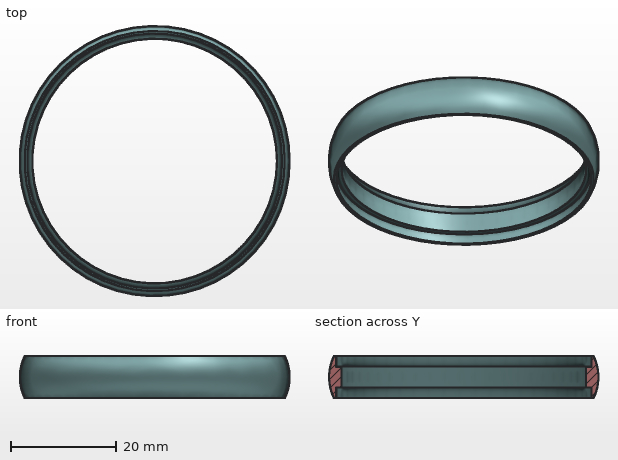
import cadquery as cq

outer_diameter = 51.4
rim_diameter = 49.5
recess_diameter = 48.5
bore_diameter = 46.5
height = 8.0
band_height = height / 2
recess_depth = (height - band_height) / 2

outer_radius = outer_diameter / 2
rim_radius = rim_diameter / 2
half_height = height / 2


def barrel_body():
    """Solid of revolution with a crowned outer wall, resting on Z = 0."""
    return (
        cq.Workplane("XZ")
        .lineTo(rim_radius, 0)
        .threePointArc((outer_radius, half_height), (rim_radius, height))
        .lineTo(0, height)
        .close()
        .revolve(360, (0, 0, 0), (0, 1, 0))
    )


def cylinder(diameter, length, bottom):
    """Upright cylinder on the ring axis, starting at the given height."""
    return cq.Workplane("XY").workplane(offset=bottom).circle(diameter / 2).extrude(length)


ring = barrel_body().cut(cylinder(bore_diameter, height, 0))

for recess_bottom in (0, height - recess_depth):
    ring = ring.cut(cylinder(recess_diameter, recess_depth, recess_bottom))

result = ring